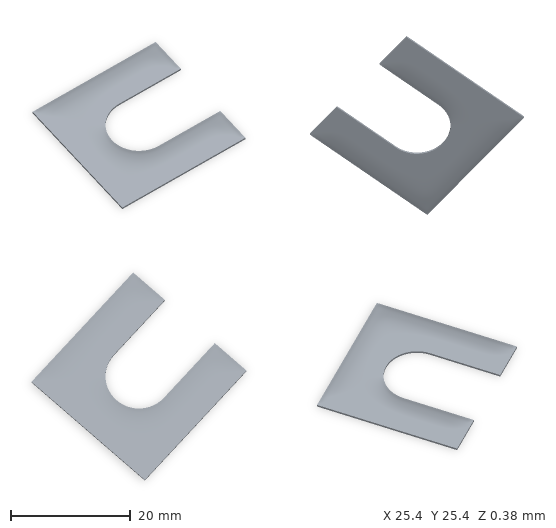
import cadquery as cq

side = 25.4
thickness = 0.38
slot_width = 11.18

slot_radius = slot_width / 2
half_side = side / 2

plate = cq.Workplane("XY").box(side, side, thickness)

slot = (
    cq.Workplane("XY")
    .moveTo(-slot_radius, half_side)
    .lineTo(-slot_radius, 0)
    .threePointArc((0, -slot_radius), (slot_radius, 0))
    .lineTo(slot_radius, half_side)
    .close()
    .extrude(thickness, both=True)
)

result = plate.cut(slot)